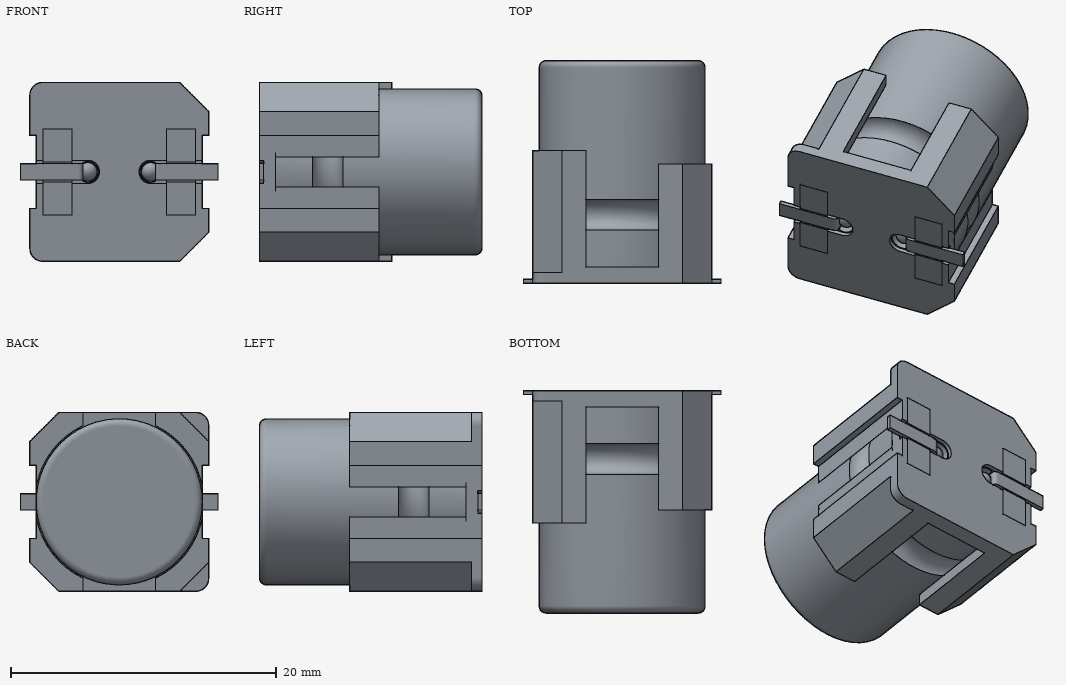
import cadquery as cq
import math


base_side = 13.5
base_half = base_side / 2
left_wall_height = 10.0
right_wall_height = 9.0
corner_chamfer = 2.2
flange_thickness = 0.8
flange_corner_radius = 0.99
floor_thickness = 1.23
bore_radius = 6.37
opening_width = 5.5

can_top = 16.8
can_radius = 6.27
can_edge_radius = 0.54
can_groove_radius = 1.16
can_groove_y = 5.15

lead_span = 14.9
lead_width = 1.25
lead_thickness = 0.32
lead_inner_x = 2.74
wire_pitch = 4.74
wire_radius = 0.7
wire_x = wire_pitch / 2

wire_hole_radius = 0.79
lead_slot_width = 1.75

pad_width = 2.2
pad_height = 6.5
pad_center_x = 4.65
pad_groove_width = 1.5
pad_thickness = 2 * lead_thickness

SIDES = (-1, 1)


def corner_inset(radius):
    """Distance from each side of a square corner to the middle of its rounding arc."""
    return radius * (1 - math.sqrt(0.5))


def block(x_limits, y_limits, height):
    """Box between two X values and two Y values, centred on Z = 0."""
    x_min, x_max = sorted(x_limits)
    y_min, y_max = y_limits
    return (
        cq.Workplane("XY")
        .box(x_max - x_min, y_max - y_min, height, centered=(False, False, True))
        .translate((x_min, y_min, 0))
    )


def rod(x, radius, y_min, y_max):
    """Cylinder along Y, centred on Z = 0."""
    start = cq.Vector(x, y_min, 0)
    along_y = cq.Vector(0, 1, 0)
    return cq.Workplane(cq.Solid.makeCylinder(radius, y_max - y_min, start, along_y))


def pad_block(side, thickness, height):
    """Box over the full width of one pad, starting at the mounting face."""
    center = side * pad_center_x
    return block((center - pad_width / 2, center + pad_width / 2), (0, thickness), height)


def make_pad(side):
    """Pad with a groove along X that the lead lies in."""
    pad = pad_block(side, pad_thickness, pad_height)
    return pad.cut(pad_block(side, lead_thickness, pad_groove_width))


def make_flat_lead(side):
    """Strip whose inner end turns into the base, rounded outside and square inside."""
    inner_x = side * lead_inner_x
    bend_x = side * (lead_inner_x + lead_thickness)
    outer_x = side * lead_span / 2
    inset = corner_inset(lead_thickness)
    return (
        cq.Workplane("XY", origin=(0, 0, -lead_width / 2))
        .moveTo(outer_x, 0)
        .lineTo(bend_x, 0)
        .threePointArc((inner_x + side * inset, inset), (inner_x, lead_thickness))
        .lineTo(inner_x, floor_thickness)
        .lineTo(bend_x, floor_thickness)
        .lineTo(bend_x, lead_thickness)
        .lineTo(outer_x, lead_thickness)
        .close()
        .extrude(lead_width)
    )


def make_wire(side):
    """Dome-ended wire that runs up to the can."""
    tip_y = lead_thickness
    shoulder_y = tip_y + wire_radius
    inset = corner_inset(wire_radius)
    outline = (
        cq.Workplane("XY")
        .moveTo(0, tip_y)
        .threePointArc((wire_radius - inset, tip_y + inset), (wire_radius, shoulder_y))
        .lineTo(wire_radius, floor_thickness)
        .lineTo(0, floor_thickness)
        .close()
    )
    wire = outline.revolve(360, (0, 0, 0), (0, 1, 0))
    return wire.translate((side * wire_x, 0, 0))


def make_lead(side):
    """One lead: the flat strip and its wire as a single solid."""
    return make_flat_lead(side).union(make_wire(side))


def make_walls():
    """Square block with chamfered corners; the +X half is lower than the -X half."""
    walls = block((-base_half, base_half), (0, left_wall_height), base_side)
    walls = walls.edges("|Y").chamfer(corner_chamfer)
    return walls.cut(block((0, base_half), (right_wall_height, left_wall_height), base_side))


def make_flange():
    """Thin plate that squares off the two -X corners, which are rounded."""
    plate = block((-base_half, 0), (0, flange_thickness), base_side)
    return plate.edges("|Y and <X").fillet(flange_corner_radius)


def cut_wall_openings(base):
    """Open the +Z and -Z walls and recess the X sides until they are flush with the can."""
    half_opening = opening_width / 2
    base = base.cut(block((-half_opening, half_opening), (floor_thickness, left_wall_height), base_side))
    for side in SIDES:
        base = base.cut(block((side * can_radius, side * base_half), (0, left_wall_height), opening_width))
    return base


def wire_hole(side):
    """Round hole through the floor, flat on the side where the lead turns in."""
    hole = rod(side * wire_x, wire_hole_radius, 0, floor_thickness)
    return hole.intersect(block((0, side * lead_inner_x), (0, floor_thickness), base_side))


def cut_lead_seat(base, side):
    """Round-ended slot, wire hole and pad pocket, with a close fit around the lead."""
    base = base.cut(block((side * wire_x, side * base_half), (0, lead_thickness), lead_slot_width))
    base = base.cut(rod(side * wire_x, lead_slot_width / 2, 0, lead_thickness))
    base = base.cut(wire_hole(side))
    base = base.cut(pad_block(side, pad_thickness, pad_height))
    return base.cut(make_lead(side))


def make_base():
    base = make_walls().union(make_flange())
    base = base.cut(rod(0, bore_radius, floor_thickness, left_wall_height))
    base = cut_wall_openings(base)
    for side in SIDES:
        base = cut_lead_seat(base, side)
    return base


def make_can():
    """Solid can with a rounded far edge and a half-round groove around it."""
    groove_floor = can_radius - can_groove_radius
    inset = corner_inset(can_edge_radius)
    edge_middle = (-can_radius + inset, can_top - inset)
    profile = (
        cq.Workplane("XY")
        .moveTo(0, floor_thickness)
        .lineTo(-can_radius, floor_thickness)
        .lineTo(-can_radius, can_groove_y - can_groove_radius)
        .radiusArc((-groove_floor, can_groove_y), -can_groove_radius)
        .radiusArc((-can_radius, can_groove_y + can_groove_radius), -can_groove_radius)
        .lineTo(-can_radius, can_top - can_edge_radius)
        .threePointArc(edge_middle, (-can_radius + can_edge_radius, can_top))
        .lineTo(0, can_top)
        .close()
    )
    return profile.revolve(360, (0, 0, 0), (0, 1, 0))


base = make_base()
can = make_can()
pads = [make_pad(side).val() for side in SIDES]
leads = [make_lead(side).val() for side in SIDES]
result = cq.Compound.makeCompound([base.val(), can.val(), *pads, *leads])